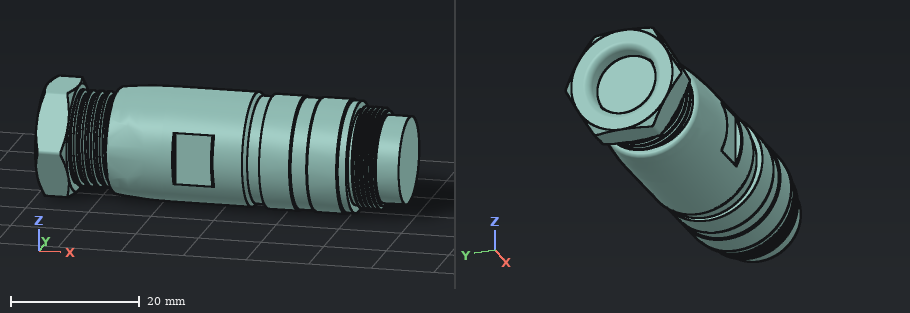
import cadquery as cq
import math

LENGTH = 57.8
MAIN_RADIUS = 18.0 / 2
STEP_RADIUS = 16.9 / 2

NUT_LENGTH = 5.0
NUT_FLATS = 2 * STEP_RADIUS
NUT_EDGE_RADIUS = 0.6
NUT_CHAMFER_ANGLE = 30
CABLE_HOLE_RADIUS = 10.5 / 2
CABLE_HOLE_DEPTH = 3.0
CABLE_HOLE_LIP = 1.15

GLAND_CREST_RADIUS = 15.0 / 2
GLAND_ROOT_RADIUS = 13.8 / 2
GLAND_PITCH = 1.4
GLAND_CREST_WIDTH = 0.4
GLAND_BASE_WIDTH = 1.15
GLAND_RIDGE_OVERLAP = 1.75
GLAND_CORE_OVERLAP = 2.9

BODY_START = 11.15
BODY_EDGE_RADIUS = 0.65
TAPER_END = 20.25
SHOULDER_START = 33.2
SHOULDER_END = 33.85

FLAT_START = 22.3
FLAT_END = 28.2
FLAT_DISTANCE = 8.0
FLAT_RIM_WIDTH = 0.3
FLAT_RIM_DROP = 0.1

COUPLING_OFFSET = -0.4
COUPLING_START = 36.0
COUPLING_END = 49.8
GRIP_RADIUS = MAIN_RADIUS
GROOVE_RADIUS = 17.6 / 2
FRONT_GROOVE_START = 40.8
FRONT_GROOVE_END = 43.7
REAR_GROOVE_START = 48.3

NECK_RADIUS = 15.0 / 2
COUPLING_THREAD_START = 50.15
COUPLING_THREAD_END = 54.15
COUPLING_CREST_RADIUS = 15.95 / 2
COUPLING_PITCH = 0.75
COUPLING_CREST_WIDTH = 0.1
COUPLING_BASE_WIDTH = 0.7
PLUG_RADIUS = 13.8 / 2

THREAD_OVERLAP = 0.1


def cylinder(start, end, radius):
    """Round bar along X from start to end."""
    return cq.Workplane("YZ", origin=(start, 0, 0)).circle(radius).extrude(end - start)


def revolved(outline):
    """Solid of revolution about X below a line through (x, radius) points."""
    foot_start = (outline[0][0], 0)
    foot_end = (outline[-1][0], 0)
    profile = cq.Workplane("XY").polyline([foot_start] + outline + [foot_end]).close()
    return profile.revolve(360, (0, 0, 0), (1, 0, 0))


def thread_ridge(start, end, root_radius, crest_radius, pitch, crest_width, base_width):
    """Right-handed helical ridge along X, sunk slightly into its root cylinder."""
    base_radius = root_radius - THREAD_OVERLAP
    helix = cq.Wire.makeHelix(pitch, end - start, base_radius)
    profile = (
        cq.Workplane("XZ")
        .moveTo(base_radius, -base_width / 2)
        .lineTo(crest_radius, -crest_width / 2)
        .lineTo(crest_radius, crest_width / 2)
        .lineTo(base_radius, base_width / 2)
        .close()
    )
    ridge = profile.sweep(cq.Workplane(obj=helix), isFrenet=True)
    return ridge.rotate((0, 0, 0), (0, 1, 0), 90).translate((start, 0, 0))


def make_nut():
    corner_radius = NUT_FLATS / 2 / math.cos(math.radians(30))
    nut = (
        cq.Workplane("YZ")
        .polygon(6, 2 * corner_radius)
        .extrude(NUT_LENGTH)
        .edges("|X")
        .fillet(NUT_EDGE_RADIUS)
    )
    chamfer_radial = corner_radius - NUT_FLATS / 2
    chamfer_axial = chamfer_radial * math.tan(math.radians(NUT_CHAMFER_ANGLE))
    envelope = cylinder(0, NUT_LENGTH, corner_radius).edges().chamfer(chamfer_axial, chamfer_radial)
    return nut.intersect(envelope)


def make_gland_thread():
    """Gland thread on a longer core, the ends of both buried in the nut and in the body."""
    core = cylinder(
        NUT_LENGTH - GLAND_CORE_OVERLAP,
        BODY_START + GLAND_CORE_OVERLAP,
        GLAND_ROOT_RADIUS,
    )
    ridge = thread_ridge(
        NUT_LENGTH - GLAND_RIDGE_OVERLAP,
        BODY_START + GLAND_RIDGE_OVERLAP,
        GLAND_ROOT_RADIUS,
        GLAND_CREST_RADIUS,
        GLAND_PITCH,
        GLAND_CREST_WIDTH,
        GLAND_BASE_WIDTH,
    )
    return core.union(ridge)


def make_body():
    """Barrel with a tangent-arc taper at its front and a chamfered rear shoulder."""
    taper_drop = MAIN_RADIUS - STEP_RADIUS
    taper_start = BODY_START + BODY_EDGE_RADIUS
    taper_length = TAPER_END - taper_start
    taper_arc_radius = (taper_length**2 + taper_drop**2) / (2 * taper_drop)
    edge_middle = BODY_EDGE_RADIUS * (1 - math.sqrt(0.5))
    middle_x = (taper_start + TAPER_END) / 2
    middle_drop = taper_arc_radius - math.sqrt(taper_arc_radius**2 - (TAPER_END - middle_x) ** 2)
    barrel = (
        cq.Workplane("XY")
        .moveTo(BODY_START, 0)
        .lineTo(BODY_START, STEP_RADIUS - BODY_EDGE_RADIUS)
        .threePointArc(
            (BODY_START + edge_middle, STEP_RADIUS - edge_middle),
            (taper_start, STEP_RADIUS),
        )
        .threePointArc((middle_x, MAIN_RADIUS - middle_drop), (TAPER_END, MAIN_RADIUS))
        .lineTo(SHOULDER_START, MAIN_RADIUS)
        .lineTo(SHOULDER_END, STEP_RADIUS)
        .lineTo(COUPLING_START, STEP_RADIUS)
        .lineTo(COUPLING_START, 0)
        .close()
        .revolve(360, (0, 0, 0), (1, 0, 0))
    )
    for side in (-1, 1):
        barrel = barrel.cut(wrench_flat(side))
    return barrel


def side_block(start, end, side):
    """Block between two X positions, outside the flat facing -Y (side = -1) or +Y (side = 1)."""
    return (
        cq.Workplane("XY")
        .box(end - start, MAIN_RADIUS, 2 * MAIN_RADIUS)
        .translate(((start + end) / 2, side * (FLAT_DISTANCE + MAIN_RADIUS / 2), 0))
    )


def wrench_flat(side):
    """Material removed at one flat, with the rims of its end walls bevelled."""
    rim_start = FLAT_START - FLAT_RIM_WIDTH
    rim_end = FLAT_END + FLAT_RIM_WIDTH
    bevelled_bar = revolved(
        [
            (rim_start, MAIN_RADIUS),
            (FLAT_START, MAIN_RADIUS - FLAT_RIM_DROP),
            (FLAT_END, MAIN_RADIUS - FLAT_RIM_DROP),
            (rim_end, MAIN_RADIUS),
        ]
    )
    rim_bevels = side_block(rim_start, rim_end, side).cut(bevelled_bar)
    return side_block(FLAT_START, FLAT_END, side).union(rim_bevels)


def make_coupling():
    """Two grip bands with bevelled grooves, then the neck and the plug."""
    bevel = GRIP_RADIUS - GROOVE_RADIUS
    return revolved(
        [
            (COUPLING_START, GRIP_RADIUS),
            (FRONT_GROOVE_START, GRIP_RADIUS),
            (FRONT_GROOVE_START + bevel, GROOVE_RADIUS),
            (FRONT_GROOVE_END - bevel, GROOVE_RADIUS),
            (FRONT_GROOVE_END, GRIP_RADIUS),
            (REAR_GROOVE_START, GRIP_RADIUS),
            (REAR_GROOVE_START + bevel, GROOVE_RADIUS),
            (COUPLING_END, GROOVE_RADIUS),
            (COUPLING_END, NECK_RADIUS),
            (COUPLING_THREAD_END, NECK_RADIUS),
            (COUPLING_THREAD_END, PLUG_RADIUS),
            (LENGTH, PLUG_RADIUS),
        ]
    ).translate((0, COUPLING_OFFSET, 0))


def make_coupling_ridge():
    return thread_ridge(
        COUPLING_THREAD_START,
        COUPLING_THREAD_END,
        NECK_RADIUS,
        COUPLING_CREST_RADIUS,
        COUPLING_PITCH,
        COUPLING_CREST_WIDTH,
        COUPLING_BASE_WIDTH,
    ).translate((0, COUPLING_OFFSET, 0))


def cable_hole():
    """Blind bore with a rounded lip at the nut face."""
    lip_middle = CABLE_HOLE_LIP * (1 - math.sqrt(0.5))
    return (
        cq.Workplane("XY")
        .lineTo(0, CABLE_HOLE_RADIUS + CABLE_HOLE_LIP)
        .threePointArc(
            (lip_middle, CABLE_HOLE_RADIUS + lip_middle),
            (CABLE_HOLE_LIP, CABLE_HOLE_RADIUS),
        )
        .lineTo(CABLE_HOLE_DEPTH, CABLE_HOLE_RADIUS)
        .lineTo(CABLE_HOLE_DEPTH, 0)
        .close()
        .revolve(360, (0, 0, 0), (1, 0, 0))
    )


gland = make_gland_thread().union(make_nut()).union(make_body())
coupling = make_coupling().union(make_coupling_ridge())
result = gland.union(coupling).cut(cable_hole())